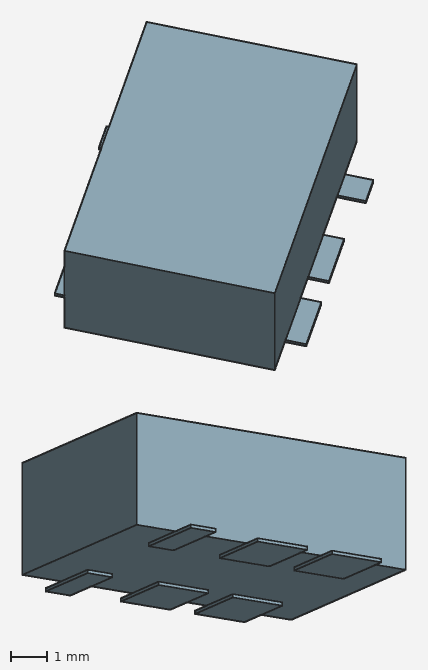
import cadquery as cq

HOUSING_WIDTH = 5.99
HOUSING_LENGTH = 8.7
HOUSING_HEIGHT = 3.2

TERMINAL_THICKNESS = 0.1
TERMINAL_INNER_X = 1.6
WIDE_TERMINAL_OUTER_X = 3.585
NARROW_TERMINAL_OUTER_X = 3.8
WIDE_TERMINAL_WIDTH = 1.6
NARROW_TERMINAL_WIDTH = 0.8
WIDE_TERMINAL_CENTERS_Y = (0.0, -2.4)
NARROW_TERMINAL_CENTER_Y = 2.7


def make_housing():
    """Block with its underside at Z = 0."""
    return cq.Workplane("XY").box(
        HOUSING_WIDTH, HOUSING_LENGTH, HOUSING_HEIGHT, centered=(True, True, False)
    )


def make_terminal(side, center_y, outer_x, width):
    """Flat strip touching the housing underside; side is -1 for -X or +1 for +X."""
    center_x = side * (TERMINAL_INNER_X + outer_x) / 2
    return (
        cq.Workplane("XY")
        .box(outer_x - TERMINAL_INNER_X, width, TERMINAL_THICKNESS)
        .translate((center_x, center_y, -TERMINAL_THICKNESS / 2))
    )


housing = make_housing()

terminals = []
for side in (-1, 1):
    for center_y in WIDE_TERMINAL_CENTERS_Y:
        terminals.append(make_terminal(side, center_y, WIDE_TERMINAL_OUTER_X, WIDE_TERMINAL_WIDTH))
    terminals.append(
        make_terminal(side, NARROW_TERMINAL_CENTER_Y, NARROW_TERMINAL_OUTER_X, NARROW_TERMINAL_WIDTH)
    )

result = cq.Compound.makeCompound([housing.val(), *[terminal.val() for terminal in terminals]])